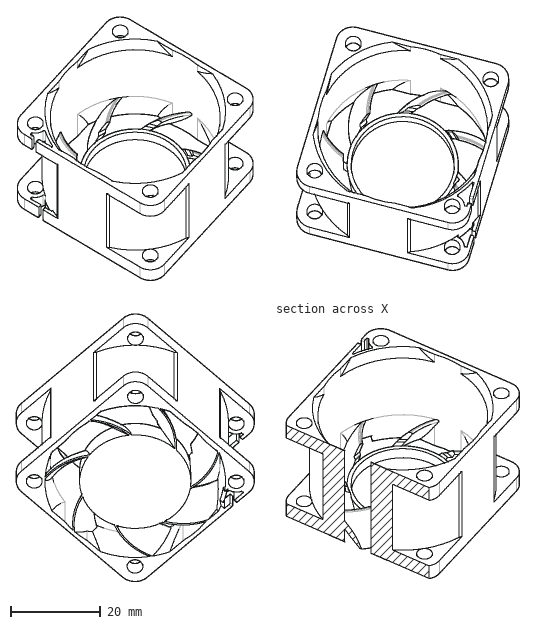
import cadquery as cq
import math

side = 40.0
height = 28.0
corner_radius = 3.9
flange_height = 4.0
barrel_radius = 20.9
pad_half_width = 6.7
pad_foot_half_width = 7.3
pad_step = 0.4

hole_pitch = 32.0
hole_diameter = 3.5
hole_offset = hole_pitch / 2

bore_radius = 19.05
flare_square = 37.45
flare_radius = 20.25
top_flare_depth = 2.4
bottom_flare_depth = 8.2

channel_left = -15.1
channel_right = -9.1
channel_front = -19.15
boss_radius = 2.75
channel_tip_radius = 0.3
slot_width = 1.1
top_slot_x = -13.5
bottom_slot_x = -11.5
slot_rim_radius = 0.4
passage_height = 2.0

hub_radius = 12.5
hub_height = 4.8
hub_recess_radius = 11.55
hub_floor = 2.0

vane_count = 7
vane_inner_radius = 12.0
vane_outer_radius = 20.4
vane_height = 8.2
vane_tab_height = 6.0
vane_tab_radius = 13.3
vane_foot = {"height": 0, "start": 80.5, "twist": 4.0, "thickness": 0.55}
vane_waist = {"height": vane_tab_height, "start": 62.0, "twist": 3.25, "thickness": 2.0}
vane_crest = {"height": vane_height, "start": 54.3, "twist": 2.9, "thickness": 1.1}
vane_crest_rounding = 0.35


def disc(radius, z_low, z_high):
    return cq.Workplane("XY").workplane(offset=z_low).circle(radius).extrude(z_high - z_low)


def block(x_low, x_high, y_low, y_high, z_low, z_high):
    size = (x_high - x_low, y_high - y_low, z_high - z_low)
    return cq.Workplane("XY").box(*size, centered=False).translate((x_low, y_low, z_low))


def cone(z_low, radius_low, z_high, radius_high):
    outline = [(0, z_low), (radius_low, z_low), (radius_high, z_high), (0, z_high)]
    return cq.Workplane("XZ").polyline(outline).close().revolve(360, (0, 0, 0), (0, 1, 0))


def polar(radius, angle):
    turn = math.radians(angle)
    return (radius * math.cos(turn), radius * math.sin(turn))


def make_flange(z_low):
    plate = cq.Workplane("XY").workplane(offset=z_low).rect(side, side).extrude(flange_height)
    plate = plate.edges("|Z").fillet(corner_radius)
    holes = (
        cq.Workplane("XY").workplane(offset=z_low)
        .rect(hole_pitch, hole_pitch, forConstruction=True).vertices()
        .circle(hole_diameter / 2).extrude(flange_height)
    )
    return plate.cut(holes)


def make_barrel():
    z_low = flange_height
    z_high = height - flange_height
    outer = side / 2
    foot = outer - pad_step
    square = block(-outer, outer, -outer, outer, z_low, z_high)
    barrel = disc(barrel_radius, z_low, z_high).intersect(square)
    outline = [
        (-pad_half_width, -outer), (pad_half_width, -outer),
        (pad_foot_half_width, -foot), (pad_foot_half_width, foot),
        (pad_half_width, outer), (-pad_half_width, outer),
        (-pad_foot_half_width, foot), (-pad_foot_half_width, -foot),
    ]
    pads = cq.Workplane("XY").workplane(offset=z_low).polyline(outline).close().extrude(z_high - z_low)
    return barrel.union(pads).union(pads.rotate((0, 0, 0), (0, 0, 1), 90))


def make_duct():
    top = cone(height - top_flare_depth, bore_radius, height, flare_radius)
    bottom = cone(0, flare_radius, bottom_flare_depth, bore_radius)
    limit = cq.Workplane("XY").rect(flare_square, flare_square).extrude(height)
    return disc(bore_radius, 0, height).union(top.intersect(limit)).union(bottom.intersect(limit))


def hole_boss(z_low, z_high):
    return disc(boss_radius, z_low, z_high).translate((-hole_offset, -hole_offset, 0))


def make_cable_cut(z_low, slot_x, rim_z):
    z_high = z_low + flange_height
    channel = block(channel_left, channel_right, channel_front, -hole_offset, z_low, z_high)
    channel = channel.cut(disc(barrel_radius, z_low, z_high))
    channel = channel.cut(hole_boss(z_low, z_high))
    channel = channel.edges("|Z").edges(">Y").fillet(channel_tip_radius)

    front = -side / 2
    left = slot_x - slot_width / 2
    right = slot_x + slot_width / 2
    slot = block(left, right, front, channel_front, z_low, z_high)
    inward = slot_rim_radius if rim_z == 0 else -slot_rim_radius
    for edge_x, outward in ((left, -slot_rim_radius), (right, slot_rim_radius)):
        far_x = edge_x + outward
        far_z = rim_z + inward
        corner = block(
            min(edge_x, far_x), max(edge_x, far_x), front, channel_front,
            min(rim_z, far_z), max(rim_z, far_z),
        )
        rounding = cq.Workplane("XZ").center(far_x, far_z).circle(slot_rim_radius).extrude(side)
        slot = slot.union(corner.cut(rounding))
    return channel.union(slot)


def make_passage():
    opening = block(channel_left, channel_right, channel_front, -hole_offset, 0, passage_height)
    return opening.cut(hole_boss(0, passage_height)).intersect(disc(barrel_radius, 0, passage_height))


def make_hub():
    hub = disc(hub_radius, 0, hub_height)
    return hub.cut(disc(hub_recess_radius, hub_floor, hub_height))


def vane_section(section):
    half = section["thickness"] / 2

    def edge_point(radius, shift):
        angle = section["start"] - section["twist"] * (radius - vane_inner_radius)
        return polar(radius, angle + math.degrees(shift / radius))

    middle = (vane_inner_radius + vane_outer_radius) / 2
    outline = (
        cq.Workplane("XY").workplane(offset=section["height"])
        .moveTo(*edge_point(vane_inner_radius, -half))
        .threePointArc(edge_point(middle, -half), edge_point(vane_outer_radius, -half))
        .lineTo(*edge_point(vane_outer_radius, half))
        .threePointArc(edge_point(middle, half), edge_point(vane_inner_radius, half))
        .close()
    )
    return outline.wire().val()


def make_vane():
    sections = (vane_foot, vane_waist, vane_crest)
    vane = cq.Workplane(cq.Solid.makeLoft([vane_section(section) for section in sections]))
    vane = vane.faces(">Z").edges().fillet(vane_crest_rounding)
    vane = vane.cut(disc(hub_radius, hub_height, vane_tab_height))
    return vane.cut(disc(vane_tab_radius, vane_tab_height, height))


duct = make_duct()
frame = make_barrel().union(make_flange(0)).union(make_flange(height - flange_height))
frame = frame.cut(duct)
frame = frame.cut(make_cable_cut(0, bottom_slot_x, 0))
frame = frame.cut(make_cable_cut(height - flange_height, top_slot_x, height))
frame = frame.cut(make_passage())

result = frame.union(make_hub())
vane = make_vane()
for index in range(vane_count):
    turned = vane.rotate((0, 0, 0), (0, 0, 1), index * 360 / vane_count)
    result = result.union(turned.intersect(duct))